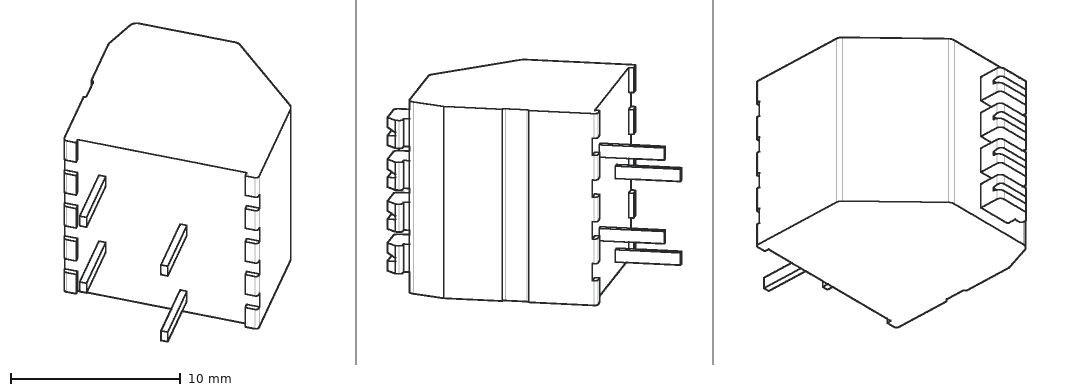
import cadquery as cq
import math

poles = 4
pitch = 2.54
foot_height = 1.5
body_width = 12.0
body_height = poles * pitch + foot_height

back_y = 11.5
floor_y = 0.3
left_bevel_start_y = 9.2
left_bevel_angle = 20.0
right_bevel_start_y = 6.8
bevel_radius = 0.5
left_bevel_run = (back_y - left_bevel_start_y) * math.tan(math.radians(left_bevel_angle))
right_bevel_run = back_y - right_bevel_start_y

foot_width = 0.8
foot_radius = 0.2

groove_low_y = 4.12
groove_high_y = 5.7
groove_depth = 0.15

pin_tip_y = -3.6
pin_width = 0.42
pin_thickness = 0.75
pin_row_x = 2.32
pin_row_spacing = 5.0
first_pin_depth = 2.8

lever_tip_y = 13.1
lever_left_x = 2.52
lever_right_x = 4.8
lever_height = 1.7
hook_left_x = 2.0
hook_low_y = 12.1
hook_bevel_y = 12.5
hook_bevel_run = 0.62
hook_radius = 0.2
lever_radius = 0.3
slot_mouth = 0.5
slot_floor = 0.2


def make_housing():
    """Extruded housing outline with rounded back corners and a side groove."""
    outline = [
        (0, floor_y),
        (body_width, floor_y),
        (body_width, right_bevel_start_y),
        (body_width - right_bevel_run, back_y),
        (left_bevel_run, back_y),
        (0, left_bevel_start_y),
    ]
    housing = cq.Workplane("XY").polyline(outline).close().extrude(body_height)
    mid_z = body_height / 2
    bevel_corners = outline[2:5]
    for x, y in bevel_corners:
        corner = cq.selectors.NearestToPointSelector((x, y, mid_z))
        housing = housing.edges("|Z").edges(corner).fillet(bevel_radius)
    return housing.cut(make_groove())


def make_groove():
    """Full-height groove whose two inner corners are rounded to its depth."""
    return (
        cq.Workplane("XY")
        .moveTo(0, groove_low_y)
        .radiusArc((groove_depth, groove_low_y + groove_depth), -groove_depth)
        .lineTo(groove_depth, groove_high_y - groove_depth)
        .radiusArc((0, groove_high_y), -groove_depth)
        .close()
        .extrude(body_height)
    )


def make_foot(left_x, outer_side, bottom_z):
    """One foot below the housing floor, rounded on its outer edge."""
    return (
        cq.Workplane("XY", origin=(left_x, 0, bottom_z))
        .rect(foot_width, floor_y, centered=False)
        .extrude(foot_height)
        .edges("|Z and <Y")
        .edges(outer_side)
        .fillet(foot_radius)
    )


def make_pin(center_x, center_z):
    """One rectangular pin from the housing floor to its tip."""
    return (
        cq.Workplane("XZ", origin=(center_x, floor_y, center_z))
        .rect(pin_width, pin_thickness)
        .extrude(floor_y - pin_tip_y)
    )


def make_lever(top_z):
    """One hooked lever with a tapered slot across its tip."""
    profile = [
        (lever_left_x, back_y),
        (lever_right_x, back_y),
        (lever_right_x, lever_tip_y),
        (hook_left_x + hook_bevel_run, lever_tip_y),
        (hook_left_x, hook_bevel_y),
        (hook_left_x, hook_low_y),
        (lever_left_x, hook_low_y),
    ]
    bottom_z = top_z - lever_height
    center_z = top_z - lever_height / 2
    lever = cq.Workplane("XY", origin=(0, 0, bottom_z)).polyline(profile).close().extrude(lever_height)
    lever = lever.edges("|Z and >X and >Y").fillet(lever_radius)
    hook_tip = cq.selectors.NearestToPointSelector((hook_left_x, hook_low_y, center_z))
    lever = lever.edges("|Z").edges(hook_tip).fillet(hook_radius)

    slot_outline = [
        (hook_bevel_y, center_z - slot_floor / 2),
        (lever_tip_y, center_z - slot_mouth / 2),
        (lever_tip_y, center_z + slot_mouth / 2),
        (hook_bevel_y, center_z + slot_floor / 2),
    ]
    slot = cq.Workplane("YZ").polyline(slot_outline).close().extrude(body_width)
    return lever.cut(slot)


result = make_housing()

for level in range(poles + 1):
    foot_z = level * pitch
    result = result.union(make_foot(0, "<X", foot_z))
    result = result.union(make_foot(body_width - foot_width, ">X", foot_z))

for pole in range(poles):
    pole_depth = pole * pitch
    pin_x = pin_row_x + pin_row_spacing * (pole % 2)
    result = result.union(make_pin(pin_x, body_height - first_pin_depth - pole_depth))
    result = result.union(make_lever(body_height - foot_height - pole_depth))